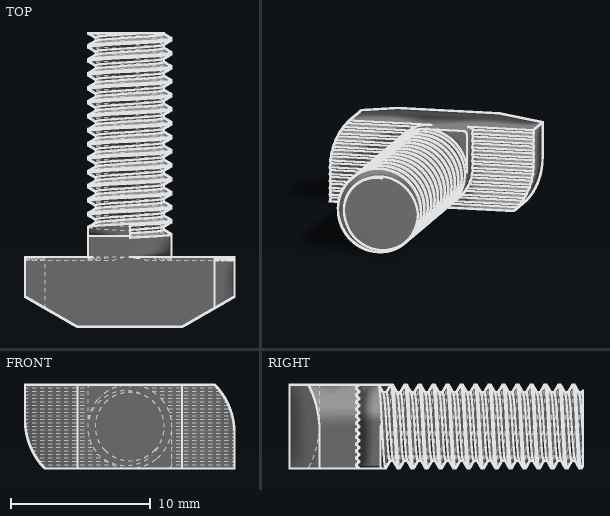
import cadquery as cq
import math


head_length = 15.0
head_depth = 5.0
head_height = 6.0
head_end_radius = 5.0
head_end_center_offset = 0.5
front_face_length = head_length / 2
bevel_angle = math.radians(30)

serration_pitch = 0.5
serration_depth = serration_pitch / 2

shank_diameter = 6.0
shank_length = 16.0
neck_length = 1.5
neck_corner_radius = 0.3

thread_pitch = 1.0
thread_half_angle = math.radians(30)
sharp_thread_height = thread_pitch / (2 * math.tan(thread_half_angle))
groove_depth = sharp_thread_height * 5 / 8
groove_root_width = thread_pitch / 4
groove_start = 1.8125
cutter_overlap = 0.05

shank_radius = shank_diameter / 2
half_length = head_length / 2
half_height = head_height / 2


def make_head():
    """T head: end-rounded XZ outline trimmed by the bevelled XY outline."""
    arc_drop = half_height + head_end_center_offset
    end_inset = head_end_radius - math.sqrt(head_end_radius**2 - arc_drop**2)
    mid_angle = math.asin(arc_drop / head_end_radius) / 2
    arc_mid_x = half_length - head_end_radius * (1 - math.cos(mid_angle))
    arc_mid_z = head_end_radius * math.sin(mid_angle) - head_end_center_offset
    rounded = (
        cq.Workplane("XZ")
        .moveTo(half_length, -half_height)
        .lineTo(half_length, -head_end_center_offset)
        .threePointArc((arc_mid_x, arc_mid_z), (half_length - end_inset, half_height))
        .lineTo(-half_length, half_height)
        .lineTo(-half_length, head_end_center_offset)
        .threePointArc((-arc_mid_x, -arc_mid_z), (end_inset - half_length, -half_height))
        .close()
        .extrude(head_depth)
    )
    half_front = front_face_length / 2
    bevel_depth = (half_length - half_front) * math.tan(bevel_angle)
    bevelled = (
        cq.Workplane("XY")
        .polyline([
            (-half_length, 0),
            (half_length, 0),
            (half_length, bevel_depth - head_depth),
            (half_front, -head_depth),
            (-half_front, -head_depth),
            (-half_length, bevel_depth - head_depth),
        ])
        .close()
        .extrude(half_height, both=True)
    )
    return rounded.intersect(bevelled)


def cut_serrations(head):
    """V grooves along X, side by side over the full height of the bearing face."""
    for index in range(round(head_height / serration_pitch)):
        lower_z = index * serration_pitch - half_height
        groove = (
            cq.Workplane("YZ")
            .polyline([
                (0, lower_z),
                (-serration_depth, lower_z + serration_pitch / 2),
                (0, lower_z + serration_pitch),
            ])
            .close()
            .extrude(half_length, both=True)
        )
        head = head.cut(groove)
    return head


def make_neck():
    """Two opposite square quadrants that stop the bolt from turning past a quarter turn."""
    length = neck_length + serration_depth
    quadrant = (
        cq.Workplane("XY")
        .box(shank_radius, length, shank_radius, centered=False)
        .edges("<X and >Z")
        .fillet(neck_corner_radius)
        .translate((-shank_radius, -serration_depth, 0))
    )
    return quadrant.union(quadrant.rotate((0, 0, 0), (0, 1, 0), 180))


def make_shank():
    """Plain cylinder, rooted below the serration valleys."""
    base = cq.Plane(origin=(0, -serration_depth, 0), xDir=(0, 0, 1), normal=(0, 1, 0))
    return cq.Workplane(base).circle(shank_radius).extrude(shank_length + serration_depth)


def make_thread_groove():
    """Right-handed helical groove that begins on the +Z side and runs out of the free end."""
    root_radius = shank_radius - groove_depth
    outer_radius = shank_radius + cutter_overlap
    root_half_width = groove_root_width / 2
    outer_half_width = root_half_width + (outer_radius - root_radius) * math.tan(thread_half_angle)
    helix_length = shank_length - groove_start + thread_pitch

    axis_plane = cq.Plane(origin=(0, groove_start, 0), xDir=(0, 0, 1), normal=(0, 1, 0))
    helix = cq.Wire.makeHelix(thread_pitch, helix_length, root_radius)
    path = cq.Workplane(helix.moved(cq.Location(axis_plane)))
    profile_plane = cq.Plane(origin=(0, groove_start, 0), xDir=(0, 0, 1), normal=(-1, 0, 0))
    return (
        cq.Workplane(profile_plane)
        .polyline([
            (root_radius, -root_half_width),
            (outer_radius, -outer_half_width),
            (outer_radius, outer_half_width),
            (root_radius, root_half_width),
        ])
        .close()
        .sweep(path, isFrenet=True)
    )


threaded_shank = make_shank().cut(make_thread_groove())
result = cut_serrations(make_head()).union(threaded_shank).union(make_neck())